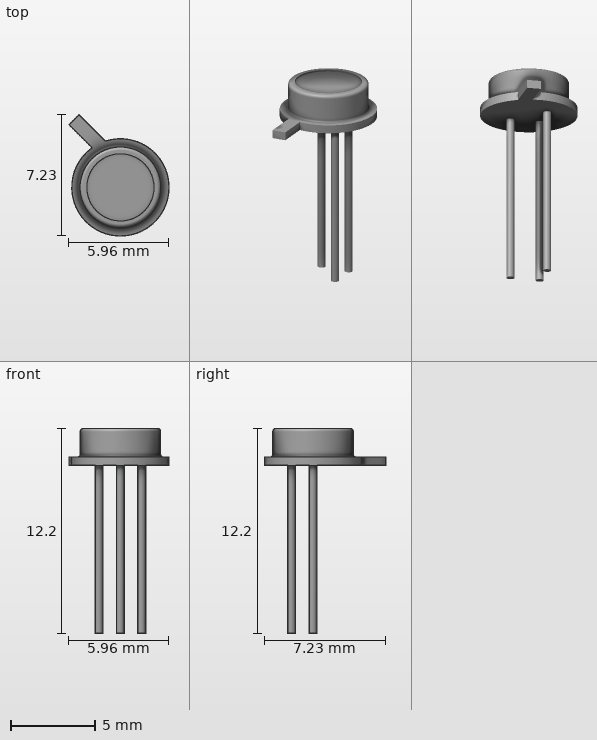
import cadquery as cq
import math

flange_diameter = 5.8
flange_thickness = 0.5

cap_diameter = 4.8
cap_height = 1.7
cap_top_fillet = 0.2
cap_base_fillet = 0.13
window_diameter = 4.0
window_depth = 0.1

lead_diameter = 0.48
lead_length = 10.0
lead_circle_radius = 1.27
lead_angles = (180, 270, 0)

tab_angle = 135
tab_width = 0.85
tab_reach = 4.8
tab_offset = lead_circle_radius * math.cos(math.radians(tab_angle))

cap_top = flange_thickness + cap_height


def make_can():
    """Flange and cap as one revolved profile, with a concave base fillet and a rounded top edge."""
    flange_radius = flange_diameter / 2
    cap_radius = cap_diameter / 2
    arc_middle = 1 - math.sqrt(0.5)
    base_middle = (
        cap_radius + cap_base_fillet * arc_middle,
        flange_thickness + cap_base_fillet * arc_middle,
    )
    top_middle = (
        cap_radius - cap_top_fillet * arc_middle,
        cap_top - cap_top_fillet * arc_middle,
    )
    return (
        cq.Workplane("XZ")
        .lineTo(flange_radius, 0)
        .lineTo(flange_radius, flange_thickness)
        .lineTo(cap_radius + cap_base_fillet, flange_thickness)
        .threePointArc(base_middle, (cap_radius, flange_thickness + cap_base_fillet))
        .lineTo(cap_radius, cap_top - cap_top_fillet)
        .threePointArc(top_middle, (cap_radius - cap_top_fillet, cap_top))
        .lineTo(0, cap_top)
        .close()
        .revolve(360, (0, 0), (0, 1))
    )


def make_window():
    """Shallow round recess in the top of the cap."""
    return (
        cq.Workplane("XY", origin=(0, 0, cap_top - window_depth))
        .circle(window_diameter / 2)
        .extrude(window_depth)
    )


def make_tab():
    """Bar as thick as the flange, drawn along +X and then turned to its angle."""
    return (
        cq.Workplane("XY")
        .center(tab_reach / 2, tab_offset)
        .rect(tab_reach, tab_width)
        .extrude(flange_thickness)
        .rotate((0, 0, 0), (0, 0, 1), tab_angle)
    )


def make_leads():
    """Round leads hanging from the underside of the flange."""
    lead_points = [
        (
            lead_circle_radius * math.cos(math.radians(angle)),
            lead_circle_radius * math.sin(math.radians(angle)),
        )
        for angle in lead_angles
    ]
    return (
        cq.Workplane("XY")
        .pushPoints(lead_points)
        .circle(lead_diameter / 2)
        .extrude(-lead_length)
    )


result = make_can().cut(make_window()).union(make_tab()).union(make_leads())